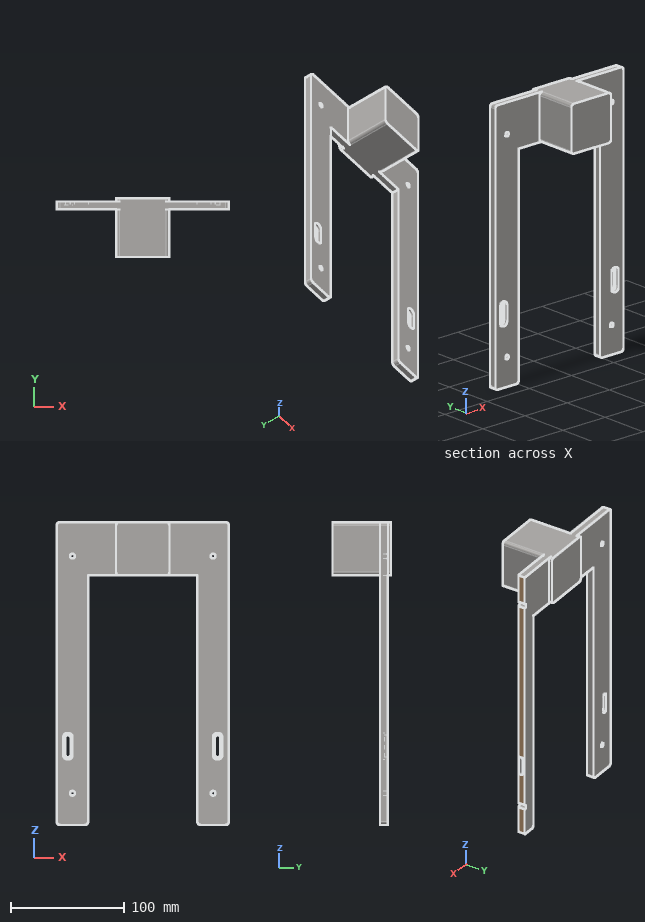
import cadquery as cq

plate_width = 152.0
plate_height = 267.0
plate_thickness = 7.0
leg_width = 28.0
bridge_height = 47.0
corner_radius = 3.0

block_size = bridge_height
block_depth = 52.0
block_back_projection = 3.0

hole_diameter = 4.0
hole_x = (plate_width - leg_width) / 2
upper_hole_top_distance = 30.0
upper_hole_z = plate_height - upper_hole_top_distance
lower_hole_z = 28.0

slot_edge_distance = 10.0
slot_x = plate_width / 2 - slot_edge_distance
slot_z = 69.5
slot_width = 4.5
vertical_angle = 90
slot_end_spacing = 15.0
slot_length = slot_end_spacing + slot_width
slot_step = 2.0
recess_width = slot_width + 2 * slot_step
recess_length = slot_end_spacing + recess_width
recess_depth = 4.0

block_back_y = plate_thickness + block_back_projection
block_front_y = block_back_y - block_depth


def front_plane(y):
    """XZ workplane at the given Y; its normal is -Y, so negative extrusions go toward +Y."""
    return cq.Workplane("XZ", origin=(0, y, 0))


def make_plate():
    """Bridge with two legs; outer corners and leg ends rounded, inner corners sharp."""
    outer_x = plate_width / 2
    inner_x = outer_x - leg_width
    bridge_bottom_z = plate_height - bridge_height
    outline = [
        (-outer_x, 0),
        (-inner_x, 0),
        (-inner_x, bridge_bottom_z),
        (inner_x, bridge_bottom_z),
        (inner_x, 0),
        (outer_x, 0),
        (outer_x, plate_height),
        (-outer_x, plate_height),
    ]
    plate = front_plane(0).polyline(outline).close().extrude(-plate_thickness)
    leg_end_edges = plate.faces("<Z").edges("|Y")
    top_edges = plate.faces(">Z").edges("|Y")
    return plate.newObject(leg_end_edges.vals() + top_edges.vals()).fillet(corner_radius)


def make_block():
    """Block flush with the bridge top and bottom, rounded along its Y edges."""
    return (
        front_plane(block_front_y)
        .center(0, plate_height - block_size / 2)
        .rect(block_size, block_size)
        .extrude(-block_depth)
        .edges("|Y")
        .fillet(corner_radius)
    )


def make_holes():
    """Four round cutters through the plate, two on each leg centreline."""
    centres = [(x, z) for x in (-hole_x, hole_x) for z in (lower_hole_z, upper_hole_z)]
    return front_plane(0).pushPoints(centres).circle(hole_diameter / 2).extrude(-plate_thickness)


def make_slots(length, width, depth):
    """Pair of vertical slot cutters reaching from the plate front to the given depth."""
    centres = [(-slot_x, slot_z), (slot_x, slot_z)]
    return front_plane(0).pushPoints(centres).slot2D(length, width, vertical_angle).extrude(-depth)


result = (
    make_plate()
    .union(make_block())
    .cut(make_holes())
    .cut(make_slots(slot_length, slot_width, plate_thickness))
    .cut(make_slots(recess_length, recess_width, recess_depth))
)